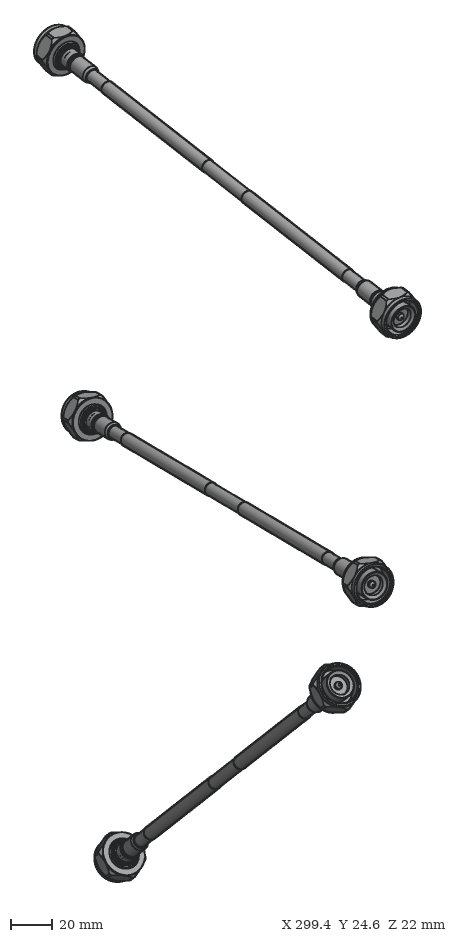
import cadquery as cq


PLUG_TIP = 149.7
NUT_FRONT = 149.0
HEX_FRONT = 146.7
NUT_FLOOR = 142.0
HEX_BACK = 138.0
REAR_RIM_BACK = 137.0
NUT_BACK = 136.2
NECK_BACK = 134.7
SLEEVE_FRONT = 133.0
BARREL_BACK = 128.5
SLEEVE_BACK = 115.0
MARKER_OUTER_END = 102.5
MARKER_INNER_END = 16.8

CABLE_RADIUS = 3.3
MARKER_WALL = 0.25
MARKER_RADIUS = CABLE_RADIUS + MARKER_WALL

SLEEVE_RADIUS = 4.5
SLEEVE_TAPER_LENGTH = 1.8
SLEEVE_TAPER_DROP = 0.5
BEAD_LENGTH = 1.0
BEAD_RADIUS = 4.8

NECK_RADIUS = 6.3
NECK_CHAMFER = 0.3
BARREL_RADIUS = 5.0
BARREL_CHAMFER = 1.0
LIP_RADIUS = 7.2
SOCKET_MOUTH_RADIUS = 7.0
SOCKET_CONE_DEPTH = 1.0
SOCKET_RADIUS = 5.0
SOCKET_DEPTH = 3.5
PIN_RADIUS = 1.8
PIN_CHAMFER = 1.2
PIN_RECESS = 1.0

HEX_SIDES = 6
HEX_ACROSS_FLATS = 22.0
HEX_CORNER_RADIUS = 12.3
HEX_CHAMFER_LENGTH = 1.8
NUT_RIM_RADIUS = HEX_ACROSS_FLATS / 2
NUT_BORE_RADIUS = 9.3
NUT_BORE_CHAMFER = 0.5
COLLAR_BASE_RADIUS = 7.8
COLLAR_END_RADIUS = 7.2


def turned(outline):
    """Solid of revolution about X from a closed outline of (station, radius) points."""
    return cq.Workplane("XZ").polyline(outline).close().revolve(360, (0, 0), (1, 0))


def tube(start, end, inner_radius, outer_radius):
    """Plain tube between two stations."""
    return turned([
        (start, inner_radius),
        (start, outer_radius),
        (end, outer_radius),
        (end, inner_radius),
    ])


def make_cable():
    """Round cable that ends inside the barrel of each plug, flush with the sleeve."""
    return turned([
        (-SLEEVE_FRONT, 0),
        (-SLEEVE_FRONT, CABLE_RADIUS),
        (SLEEVE_FRONT, CABLE_RADIUS),
        (SLEEVE_FRONT, 0),
    ])


def make_marker():
    """Thin marker tube that hugs the cable."""
    return tube(MARKER_INNER_END, MARKER_OUTER_END, CABLE_RADIUS, MARKER_RADIUS)


def make_sleeve():
    """Crimp sleeve around the cable: tapered free end, small bead, and a spigot inside the barrel."""
    return turned([
        (SLEEVE_BACK, CABLE_RADIUS),
        (SLEEVE_BACK, SLEEVE_RADIUS - SLEEVE_TAPER_DROP),
        (SLEEVE_BACK + SLEEVE_TAPER_LENGTH, SLEEVE_RADIUS),
        (BARREL_BACK - BEAD_LENGTH, SLEEVE_RADIUS),
        (BARREL_BACK, BEAD_RADIUS),
        (BARREL_BACK, SLEEVE_RADIUS),
        (SLEEVE_FRONT, SLEEVE_RADIUS),
        (SLEEVE_FRONT, CABLE_RADIUS),
    ])


def make_plug_body():
    """Turned plug body: rear barrel, neck, and a front lip around the socket and its pin."""
    socket_floor = PLUG_TIP - SOCKET_DEPTH
    cone_bottom = PLUG_TIP - SOCKET_CONE_DEPTH
    pin_tip = PLUG_TIP - PIN_RECESS
    return turned([
        (SLEEVE_FRONT, 0),
        (SLEEVE_FRONT, SLEEVE_RADIUS),
        (BARREL_BACK, SLEEVE_RADIUS),
        (BARREL_BACK, BEAD_RADIUS),
        (BARREL_BACK + BARREL_CHAMFER, BARREL_RADIUS),
        (NECK_BACK, BARREL_RADIUS),
        (NECK_BACK, NECK_RADIUS - NECK_CHAMFER),
        (NECK_BACK + NECK_CHAMFER, NECK_RADIUS),
        (NUT_FLOOR, NECK_RADIUS),
        (NUT_FLOOR, LIP_RADIUS),
        (PLUG_TIP, LIP_RADIUS),
        (PLUG_TIP, SOCKET_MOUTH_RADIUS),
        (cone_bottom, SOCKET_RADIUS),
        (socket_floor, SOCKET_RADIUS),
        (socket_floor, PIN_RADIUS),
        (pin_tip - PIN_CHAMFER, PIN_RADIUS),
        (pin_tip, PIN_RADIUS - PIN_CHAMFER),
        (pin_tip, 0),
    ])


def make_nut():
    """Hexagonal coupling nut with a round rim at each end and a tapered collar behind."""
    half_side_angle = 180 / HEX_SIDES
    hexagon = (
        cq.Workplane("YZ")
        .workplane(offset=HEX_BACK)
        .polygon(HEX_SIDES, HEX_ACROSS_FLATS, circumscribed=True)
        .extrude(HEX_FRONT - HEX_BACK)
        .rotate((0, 0, 0), (1, 0, 0), half_side_angle)
    )
    envelope = turned([
        (HEX_BACK, 0),
        (HEX_BACK, NUT_RIM_RADIUS),
        (HEX_BACK + HEX_CHAMFER_LENGTH, HEX_CORNER_RADIUS),
        (HEX_FRONT - HEX_CHAMFER_LENGTH, HEX_CORNER_RADIUS),
        (HEX_FRONT, NUT_RIM_RADIUS),
        (HEX_FRONT, 0),
    ])
    front_rim = tube(HEX_FRONT, NUT_FRONT, NUT_BORE_RADIUS, NUT_RIM_RADIUS)
    rear_rim = tube(REAR_RIM_BACK, HEX_BACK, NECK_RADIUS, NUT_RIM_RADIUS)
    collar = turned([
        (NUT_BACK, NECK_RADIUS),
        (NUT_BACK, COLLAR_END_RADIUS),
        (REAR_RIM_BACK, COLLAR_BASE_RADIUS),
        (REAR_RIM_BACK, NECK_RADIUS),
    ])
    bore = turned([
        (NUT_BACK, 0),
        (NUT_BACK, NECK_RADIUS),
        (NUT_FLOOR, NECK_RADIUS),
        (NUT_FLOOR, NUT_BORE_RADIUS),
        (NUT_FRONT - NUT_BORE_CHAMFER, NUT_BORE_RADIUS),
        (NUT_FRONT, NUT_BORE_RADIUS + NUT_BORE_CHAMFER),
        (NUT_FRONT, 0),
    ])
    return hexagon.intersect(envelope).union(front_rim).union(rear_rim).union(collar).cut(bore)


cable = make_cable()
bodies = [cable.val()]

for turn in (0, 180):
    for make_part in (make_marker, make_sleeve, make_plug_body, make_nut):
        part = make_part().rotate((0, 0, 0), (0, 0, 1), turn)
        bodies.append(part.val())

result = cq.Compound.makeCompound(bodies)